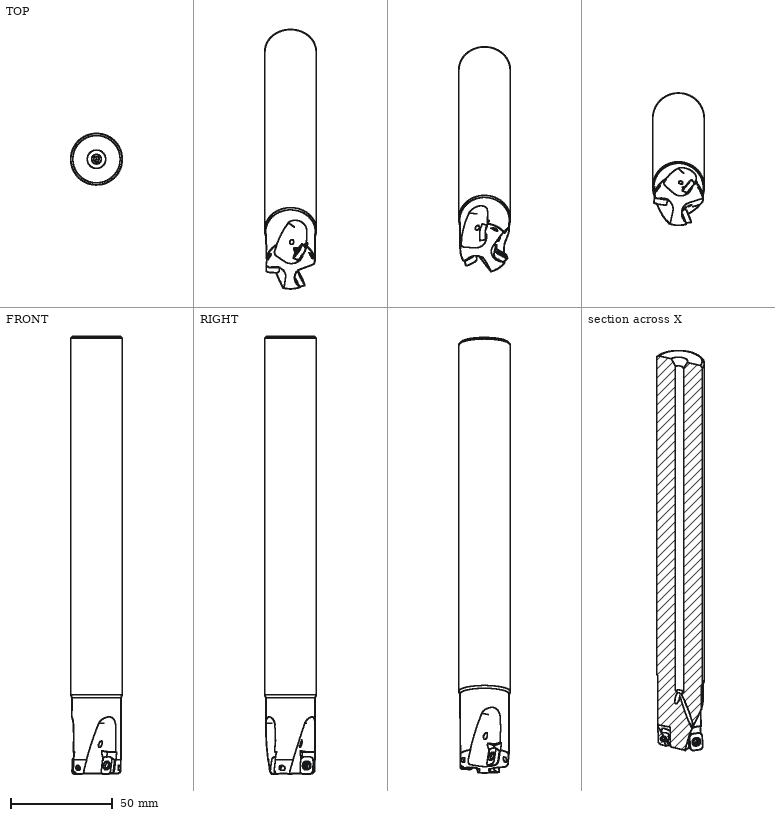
import cadquery as cq
import math

total_length = 214.9
shank_diameter = 25.4
shank_chamfer = 1.0
head_diameter = 24.3
head_length = 37.5
step_height = 1.3
body_bottom = 0.2
nose_height = 7.0
nose_diameter = 23.8
nose_fillet = 2.0

bore_diameter = 4.7
bore_mouth_diameter = 9.0
bore_mouth_half_angle = 30.0
bore_end = 32.2
coolant_diameter = 2.0
coolant_exit = cq.Vector(2.0, -7.0, 14.2)
coolant_overrun = 3.2

flute_count = 3
flute_radius = 5.4
flute_low = cq.Vector(2.5, -8.8, 1.7)
flute_high = cq.Vector(7.5, -12.7, 23.5)
flute_floor_angle = 48.0
flute_overrun = 12.9
flute_clearance = 21.5

insert_width = 6.5
insert_height = 8.5
insert_thickness = 2.5
insert_corner = 1.7
insert_relief = 15.0
insert_angle = -45.0
axial_rake = 10.0
insert_center_x = 5.0
insert_center_y = -7.3
insert_hole_diameter = 3.0
countersink_diameter = 4.3
countersink_half_angle = 45.0

pocket_headroom = 2.8
pocket_open = 8.5
pocket_depth_ahead = 1.3
screw_diameter = 2.4
screw_exit = cq.Vector(11.2, -4.0, 3.0)
screw_overrun = 2.1


def around_axis(shape, index):
    """Copy of a shape turned to the flute with this index."""
    return shape.rotate((0, 0, 0), (0, 0, 1), index * 360.0 / flute_count)


def make_rod(start, exit_point, diameter, overrun):
    """Round cutter from start through exit_point and on by overrun."""
    path = exit_point - start
    plane = cq.Plane(origin=start, normal=path)
    return cq.Workplane(plane).circle(diameter / 2).extrude(path.Length + overrun)


def make_rake_plane():
    """Plane of the rake face: x outward, y up, normal facing into the flute."""
    edge = math.radians(insert_angle)
    tilt = math.radians(axial_rake)
    outward = cq.Vector(math.cos(edge), math.sin(edge), 0)
    leading = cq.Vector(math.sin(edge), -math.cos(edge), 0)
    normal = leading * math.cos(tilt) + cq.Vector(0, 0, math.sin(tilt))
    center = cq.Vector(insert_center_x, insert_center_y, insert_height / 2 * math.cos(tilt))
    return cq.Plane(origin=center, xDir=outward, normal=normal)


def make_blank():
    """Turned shank and head with the blind coolant bore."""
    shank_radius = shank_diameter / 2
    head_radius = head_diameter / 2
    nose_radius = nose_diameter / 2
    mouth_radius = bore_mouth_diameter / 2
    bore_radius = bore_diameter / 2
    mouth_depth = (mouth_radius - bore_radius) / math.tan(math.radians(bore_mouth_half_angle))
    return (
        cq.Workplane("XZ")
        .moveTo(0, body_bottom)
        .lineTo(nose_radius - nose_fillet, body_bottom)
        .radiusArc((nose_radius, body_bottom + nose_fillet), -nose_fillet)
        .lineTo(nose_radius, nose_height)
        .lineTo(head_radius, nose_height)
        .lineTo(head_radius, head_length)
        .lineTo(shank_radius, head_length + step_height)
        .lineTo(shank_radius, total_length - shank_chamfer)
        .lineTo(shank_radius - shank_chamfer, total_length)
        .lineTo(mouth_radius, total_length)
        .lineTo(bore_radius, total_length - mouth_depth)
        .lineTo(bore_radius, bore_end)
        .lineTo(0, bore_end - bore_radius)
        .close()
        .revolve(360, (0, 0, 0), (0, 1, 0))
    )


def make_flute():
    """Cutter for one flute: a flat floor, a hollow wall and a rounded upper end."""
    axis = (flute_high - flute_low).normalized()
    floor = math.radians(flute_floor_angle)
    inward = cq.Vector(math.cos(floor), math.sin(floor), 0)
    start = flute_low - axis * flute_overrun
    length = (flute_high - start).Length
    section = cq.Plane(origin=start, xDir=inward, normal=axis)

    wall = cq.Workplane(section).circle(flute_radius).extrude(length)
    wall_end = cq.Workplane("XY").sphere(flute_radius).translate(flute_high)
    floor_side = (
        cq.Workplane(section)
        .center(-flute_clearance / 2, 0)
        .rect(flute_clearance, 2 * flute_radius)
        .extrude(length)
    )
    floor_end = (
        cq.Workplane(cq.Plane(origin=flute_high, xDir=axis, normal=section.xDir))
        .circle(flute_radius)
        .extrude(-flute_clearance)
    )
    return wall.union(floor_side).union(wall_end).union(floor_end)


def make_pocket(rake_plane):
    """Box cutter that leaves a seat behind the insert and opens downward and outward."""
    width = insert_width + pocket_open
    height = insert_height + pocket_headroom + pocket_open
    return (
        cq.Workplane(rake_plane)
        .workplane(offset=-insert_thickness)
        .center((width - insert_width) / 2, insert_height / 2 + pocket_headroom - height / 2)
        .rect(width, height)
        .extrude(insert_thickness + pocket_depth_ahead)
    )


def make_screw_hole(rake_plane):
    """Cutter from the middle of the insert seat to the outside of the head."""
    seat_center = rake_plane.origin - rake_plane.zDir * insert_thickness
    return make_rod(seat_center, screw_exit, screw_diameter, screw_overrun)


def make_coolant_hole():
    """Cutter from the end of the bore down to the flute floor."""
    bore_end_center = cq.Vector(0, 0, bore_end)
    return make_rod(bore_end_center, coolant_exit, coolant_diameter, coolant_overrun)


def make_body(rake_plane):
    """Tool body with its flutes, insert pockets and holes."""
    body = make_blank()
    cutters = [
        make_flute(),
        make_pocket(rake_plane),
        make_screw_hole(rake_plane),
        make_coolant_hole(),
    ]
    for index in range(flute_count):
        for cutter in cutters:
            body = body.cut(around_axis(cutter, index))
    return body


def make_insert(rake_plane):
    """Rounded cutting insert with relieved flanks and a countersunk screw hole."""
    plate = (
        cq.Workplane(rake_plane)
        .sketch()
        .rect(insert_width, insert_height)
        .vertices()
        .fillet(insert_corner)
        .finalize()
        .extrude(-insert_thickness, taper=insert_relief)
    )
    hole = cq.Workplane(rake_plane).circle(insert_hole_diameter / 2).extrude(-insert_thickness)
    half_angle = math.radians(countersink_half_angle)
    countersink_depth = (countersink_diameter - insert_hole_diameter) / 2 / math.tan(half_angle)
    countersink = (
        cq.Workplane(rake_plane)
        .circle(countersink_diameter / 2)
        .extrude(-countersink_depth, taper=countersink_half_angle)
    )
    return plate.cut(hole).cut(countersink)


rake_plane = make_rake_plane()
body = make_body(rake_plane)
inserts = []
for index in range(flute_count):
    inserts.append(around_axis(make_insert(rake_plane), index).val())

result = cq.Compound.makeCompound([body.val(), *inserts])